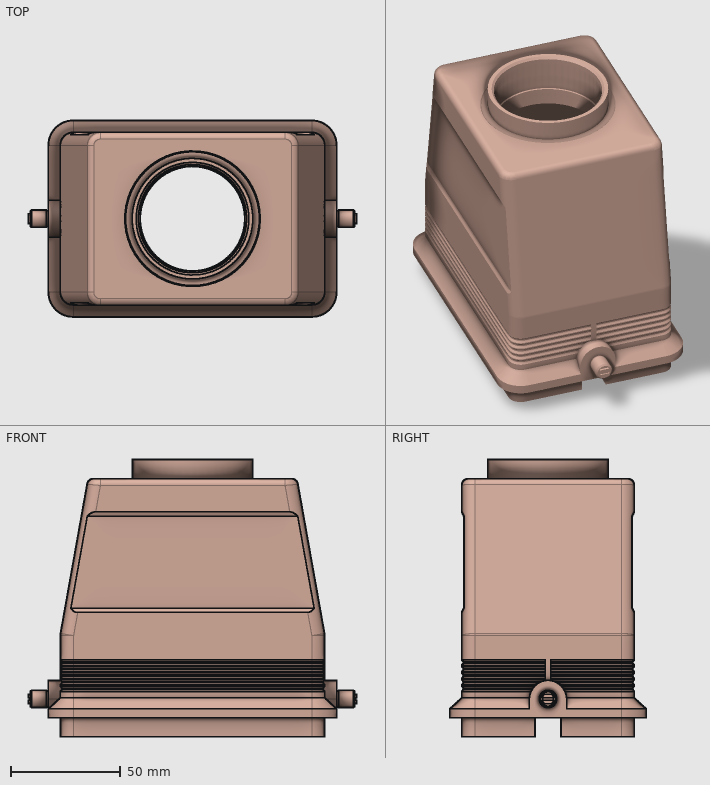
import math

import cadquery as cq

BODY_LENGTH = 121.0
BODY_WIDTH = 79.0
BODY_TOP = 118.2
BODY_TOP_LENGTH = 95.6
BEND_HEIGHT = 47.0
BEND_RADIUS = 5.0
CORNER_RADIUS = 6.0
TOP_FILLET = 3.0

FLANGE_WIDTH = 90.0
FLANGE_OVERHANG = (FLANGE_WIDTH - BODY_WIDTH) / 2
FLANGE_LENGTH = BODY_LENGTH + 2 * FLANGE_OVERHANG
FLANGE_BOTTOM = 8.7
FLANGE_EDGE_TOP = 12.8
FLANGE_SLOPE_TOP = 17.9

PANEL_DEPTH = 1.0
PANEL_BOTTOM = 57.0
PANEL_TOP = 103.0
PANEL_SLOPE_HEIGHT = 2.0

GROOVE_COUNT = 5
GROOVE_PITCH = 3.0
GROOVE_MOUTH = 2.5
GROOVE_FLOOR = 0.7
GROOVE_DEPTH = 0.75
GROOVE_TOP = 35.3
GROOVE_GAP = 2.5

COLLAR_TOP = 127.0
COLLAR_RADIUS = 27.6
RIM_CHAMFER = 1.0
RIM_CHAMFER_ANGLE = 45.0
BORE_RADIUS = 24.8
BORE_STEP_HEIGHT = 110.0
THROAT_RADIUS = 23.9
SEAT_RADIUS = 31.0
SEAT_DEPTH = 0.4
SEAT_WALL_TAPER = 45.0

CAVITY_LENGTH = 94.0
CAVITY_WIDTH = 69.0
CAVITY_TOP = 102.0
NOTCH_WIDTH = 11.7

PEG_HEIGHT = 17.4
BOSS_RADIUS = 8.5
PEG_RADIUS = 4.0
PEG_NECK_RADIUS = 3.7
PEG_NECK_LENGTH = 0.9
PEG_END = 74.3
PEG_CHAMFER = 0.7
OVERALL_LENGTH = 150.5
TIP_WIDTH = 4.6
TIP_HEIGHT = 4.2
TIP_CORNER_RADIUS = 0.7
TIP_SLOT_WIDTH = 1.0
TIP_SLOT_DEPTH = 0.5


def rounded_prism(length, width, radius, bottom, height, taper=0.0):
    """Upright prism with rounded corners; a taper draws the sides inwards."""
    outline = cq.Sketch().rect(length, width).vertices().fillet(radius)
    return cq.Workplane("XY").workplane(offset=bottom).placeSketch(outline).extrude(height, taper=taper)


def centred_block(length, width, bottom, top):
    return cq.Workplane("XY").workplane(offset=bottom).rect(length, width).extrude(top - bottom)


def make_body():
    half_foot = BODY_LENGTH / 2
    half_top = BODY_TOP_LENGTH / 2
    body = (
        cq.Workplane("XZ")
        .polyline(
            [
                (-half_foot, 0),
                (half_foot, 0),
                (half_foot, BEND_HEIGHT),
                (half_top, BODY_TOP),
                (-half_top, BODY_TOP),
                (-half_foot, BEND_HEIGHT),
            ]
        )
        .close()
        .extrude(BODY_WIDTH / 2, both=True)
    )
    for side in (-1, 1):
        bend_edge = cq.selectors.NearestToPointSelector((side * half_foot, 0, BEND_HEIGHT))
        body = body.edges(bend_edge).fillet(BEND_RADIUS)
    body = body.faces("<Y or >Y").edges("not(|X)").fillet(CORNER_RADIUS)
    return body.faces(">Z").edges().fillet(TOP_FILLET)


def make_panel_cutter(side):
    """Trapezoidal channel along one long side; side is -1 or 1."""
    face = side * BODY_WIDTH / 2
    floor = face - side * PANEL_DEPTH
    return (
        cq.Workplane("YZ")
        .polyline(
            [
                (face, PANEL_BOTTOM),
                (floor, PANEL_BOTTOM + PANEL_SLOPE_HEIGHT),
                (floor, PANEL_TOP - PANEL_SLOPE_HEIGHT),
                (face, PANEL_TOP),
            ]
        )
        .close()
        .extrude(BODY_LENGTH / 2, both=True)
    )


def make_groove_cutter(top):
    """Ring with a trapezoidal section around the body, open at the middle of both ends."""
    flank = (GROOVE_MOUTH - GROOVE_FLOOR) / 2
    bottom = top - GROOVE_MOUTH
    taper = math.degrees(math.atan2(GROOVE_DEPTH, flank))
    core = rounded_prism(
        BODY_LENGTH - 2 * GROOVE_DEPTH,
        BODY_WIDTH - 2 * GROOVE_DEPTH,
        CORNER_RADIUS - GROOVE_DEPTH,
        bottom,
        GROOVE_MOUTH,
    )
    lower_flank = rounded_prism(BODY_LENGTH, BODY_WIDTH, CORNER_RADIUS, bottom, flank, taper)
    upper_flank = rounded_prism(BODY_LENGTH, BODY_WIDTH, CORNER_RADIUS, top, -flank, taper)
    gap = centred_block(BODY_LENGTH, GROOVE_GAP, bottom, top)
    ring = rounded_prism(BODY_LENGTH, BODY_WIDTH, CORNER_RADIUS, bottom, GROOVE_MOUTH)
    return ring.cut(core).cut(lower_flank).cut(upper_flank).cut(gap)


def make_flange():
    radius = CORNER_RADIUS + FLANGE_OVERHANG
    slope_height = FLANGE_SLOPE_TOP - FLANGE_EDGE_TOP
    taper = math.degrees(math.atan2(FLANGE_OVERHANG, slope_height))
    edge = rounded_prism(FLANGE_LENGTH, FLANGE_WIDTH, radius, FLANGE_BOTTOM, FLANGE_EDGE_TOP - FLANGE_BOTTOM)
    slope = rounded_prism(FLANGE_LENGTH, FLANGE_WIDTH, radius, FLANGE_EDGE_TOP, slope_height, taper)
    return edge.union(slope)


def cylinder_up(radius, bottom, top):
    return cq.Workplane("XY").workplane(offset=bottom).circle(radius).extrude(top - bottom)


def make_seat_cutter():
    seat = cq.Workplane("XY").workplane(offset=BODY_TOP).circle(SEAT_RADIUS)
    return seat.extrude(-SEAT_DEPTH, taper=SEAT_WALL_TAPER)


def make_bore_cutter():
    throat = cylinder_up(THROAT_RADIUS, 0, BORE_STEP_HEIGHT)
    bore = cylinder_up(BORE_RADIUS, BORE_STEP_HEIGHT, COLLAR_TOP)
    rim = cq.Workplane("XY").workplane(offset=COLLAR_TOP).circle(BORE_RADIUS + RIM_CHAMFER)
    rim = rim.extrude(-RIM_CHAMFER, taper=RIM_CHAMFER_ANGLE)
    return throat.union(bore).union(rim)


def cylinder_along_x(radius, start, end):
    return cq.Workplane("YZ", origin=(start, 0, PEG_HEIGHT)).circle(radius).extrude(end - start)


def make_boss():
    """Round-topped pad on the +X end wall, flush with the flange edge."""
    start = CAVITY_LENGTH / 2
    length = FLANGE_LENGTH / 2 - start
    foot_height = PEG_HEIGHT - FLANGE_BOTTOM
    foot = (
        cq.Workplane("XY")
        .box(length, 2 * BOSS_RADIUS, foot_height, centered=(False, True, False))
        .translate((start, 0, FLANGE_BOTTOM))
    )
    return cylinder_along_x(BOSS_RADIUS, start, start + length).union(foot)


def make_peg():
    """Locking peg on the +X end with a relieved neck and a slotted tip."""
    root = FLANGE_LENGTH / 2
    neck_end = root + PEG_NECK_LENGTH
    tip_end = OVERALL_LENGTH / 2
    tip_length = tip_end - PEG_END
    neck = cylinder_along_x(PEG_NECK_RADIUS, root, neck_end)
    shank = cylinder_along_x(PEG_RADIUS, neck_end, PEG_END).faces(">X").chamfer(PEG_CHAMFER)
    tip = (
        cq.Workplane("YZ", origin=(PEG_END, 0, PEG_HEIGHT))
        .rect(TIP_WIDTH, TIP_HEIGHT)
        .extrude(tip_length)
        .edges("|X")
        .fillet(TIP_CORNER_RADIUS)
    )
    slot = (
        cq.Workplane("YZ", origin=(tip_end, 0, PEG_HEIGHT))
        .rect(TIP_WIDTH, TIP_SLOT_WIDTH)
        .extrude(-TIP_SLOT_DEPTH)
    )
    return neck.union(shank).union(tip.cut(slot))


def make_hood():
    hood = make_body()
    for side in (-1, 1):
        hood = hood.cut(make_panel_cutter(side))
    for index in range(GROOVE_COUNT):
        hood = hood.cut(make_groove_cutter(GROOVE_TOP - index * GROOVE_PITCH))
    hood = hood.union(make_flange())

    hood = hood.cut(make_seat_cutter())
    hood = hood.union(cylinder_up(COLLAR_RADIUS, CAVITY_TOP, COLLAR_TOP))

    end_fitting = make_boss().union(make_peg())
    hood = hood.union(end_fitting).union(end_fitting.mirror("YZ"))

    cavity = centred_block(CAVITY_LENGTH, CAVITY_WIDTH, 0, CAVITY_TOP)
    notch = centred_block(BODY_LENGTH, NOTCH_WIDTH, 0, FLANGE_BOTTOM)
    return hood.cut(cavity).cut(notch).cut(make_bore_cutter())


result = make_hood()